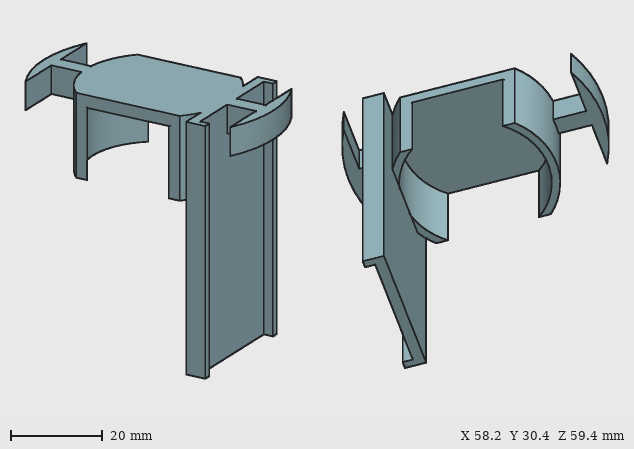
import cadquery as cq

total_length = 58.15
total_height = 59.4
body_width = 26.0

body_radius = 18.45
body_height = 19.95
cavity_radius = 16.6
roof_thickness = 2.95

cap_radius = total_length / 2
cap_inner_x = 25.95
arm_width = 4.05
arm_height = 6.75

plate_front_x = 16.1
plate_depth = 4.85
plate_width = 30.45
web_thickness = 2.55
flange_thickness = 1.7


def bar(x_start, x_end, width, height):
    """Box centred on Y, hanging down from the top plane Z = 0."""
    length = x_end - x_start
    return (
        cq.Workplane("XY")
        .box(length, width, height, centered=(False, True, False))
        .translate((x_start, 0, -height))
    )


def disc(radius, height):
    """Cylinder on the Z axis, hanging down from the top plane Z = 0."""
    return cq.Workplane("XY").circle(radius).extrude(-height)


def make_body():
    side_trim = bar(-body_radius, body_radius, body_width, body_height)
    return disc(body_radius, body_height).intersect(side_trim)


def make_cavity():
    """Round space under the roof, down to the bottom of the body."""
    cavity_depth = body_height - roof_thickness
    return disc(cavity_radius, cavity_depth).translate((0, 0, -roof_thickness))


def make_arm_with_cap(side):
    """Arm and cap on one end of the body; side is -1 or +1 along X."""
    arm_start = (cavity_radius + body_radius) / 2
    arm = bar(arm_start, cap_inner_x, arm_width, arm_height)
    cap_limit = bar(cap_inner_x, cap_radius, body_width, arm_height)
    cap = disc(cap_radius, arm_height).intersect(cap_limit)
    end = arm.union(cap)
    return end if side > 0 else end.mirror("YZ")


def make_plate():
    plate_back_x = plate_front_x + plate_depth
    web_back_x = plate_front_x + web_thickness
    channel_width = plate_width - 2 * flange_thickness
    blank = bar(plate_front_x, plate_back_x, plate_width, total_height)
    channel = bar(web_back_x, plate_back_x, channel_width, total_height)
    return blank.cut(channel)


result = make_body().union(make_plate()).cut(make_cavity())
for end_side in (-1, 1):
    result = result.union(make_arm_with_cap(end_side))